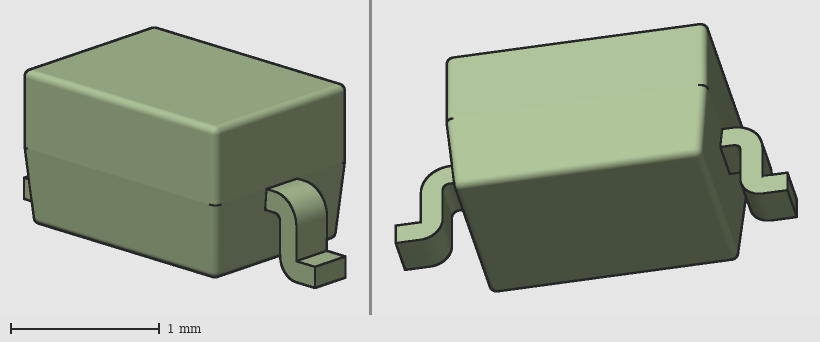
import cadquery as cq

body_length = 1.8
body_width = 1.3
body_bottom = 0.05
body_top = 1.15
parting_height = 0.6
draft_angle = 5.0
edge_radius = 0.05

lead_span = 2.7
lead_width = 0.3
lead_thickness = 0.15
riser_outer_x = 1.177
shoulder_inner_radius = 0.049
shoulder_radius = shoulder_inner_radius + lead_thickness
heel_radius = 0.15
lead_embed = 0.135


def make_body():
    """Straight upper block on a drafted lower block, with rounded edges."""
    upper = (
        cq.Workplane("XY", origin=(0, 0, parting_height))
        .rect(body_length, body_width)
        .extrude(body_top - parting_height)
        .edges("|Z or >Z")
        .fillet(edge_radius)
    )
    lower_depth = parting_height - body_bottom
    lower = (
        cq.Workplane("XY", origin=(0, 0, parting_height))
        .rect(body_length, body_width)
        .extrude(-lower_depth, taper=draft_angle)
        .edges("not >Z")
        .fillet(edge_radius)
    )
    return upper.union(lower)


def make_lead():
    """Right-hand lead: shoulder out of the body, riser down, foot outward."""
    foot_end_x = lead_span / 2
    riser_inner_x = riser_outer_x - lead_thickness
    shoulder_bottom = parting_height - lead_thickness
    root_x = body_length / 2 - lead_embed
    profile = (
        cq.Workplane("XZ")
        .moveTo(root_x, parting_height)
        .lineTo(riser_outer_x - shoulder_radius, parting_height)
        .radiusArc((riser_outer_x, parting_height - shoulder_radius), shoulder_radius)
        .lineTo(riser_outer_x, lead_thickness)
        .lineTo(foot_end_x, lead_thickness)
        .lineTo(foot_end_x, 0)
        .lineTo(riser_inner_x + heel_radius, 0)
        .radiusArc((riser_inner_x, heel_radius), heel_radius)
        .lineTo(riser_inner_x, shoulder_bottom - shoulder_inner_radius)
        .radiusArc((riser_inner_x - shoulder_inner_radius, shoulder_bottom), -shoulder_inner_radius)
        .lineTo(root_x, shoulder_bottom)
        .close()
    )
    return profile.extrude(lead_width / 2, both=True)


lead = make_lead()
result = make_body().union(lead).union(lead.mirror("YZ"))